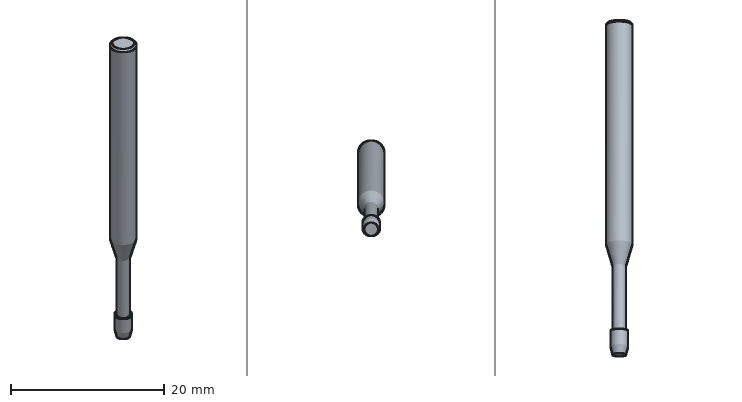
import cadquery as cq

total_length = 45.0
shank_diameter = 3.5
shank_chamfer = 0.3

neck_diameter = 1.8
taper_bottom = 12.0
taper_top = 15.0

head_diameter = 2.35
head_length = 3.25
tip_diameter = 1.8
tip_length = 1.1


def make_shank():
    """Revolve the chamfered shank, its taper and the neck as one body."""
    shank_radius = shank_diameter / 2
    neck_radius = neck_diameter / 2
    return (
        cq.Workplane("XZ")
        .moveTo(0, head_length)
        .lineTo(neck_radius, head_length)
        .lineTo(neck_radius, taper_bottom)
        .lineTo(shank_radius, taper_top)
        .lineTo(shank_radius, total_length - shank_chamfer)
        .lineTo(shank_radius - shank_chamfer, total_length)
        .lineTo(0, total_length)
        .close()
        .revolve(360, (0, 0, 0), (0, 1, 0))
    )


def make_head():
    """Revolve the cutting head, whose flat top carries the neck."""
    head_radius = head_diameter / 2
    return (
        cq.Workplane("XZ")
        .lineTo(tip_diameter / 2, 0)
        .lineTo(head_radius, tip_length)
        .lineTo(head_radius, head_length)
        .lineTo(0, head_length)
        .close()
        .revolve(360, (0, 0, 0), (0, 1, 0))
    )


shank = make_shank()
head = make_head()

result = cq.Compound.makeCompound([shank.val(), head.val()])